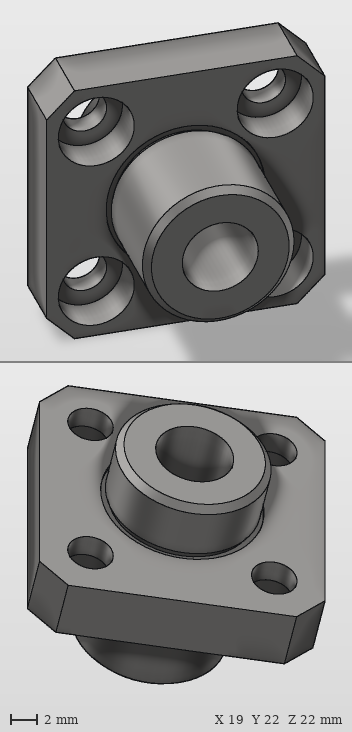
import cadquery as cq

flange_side = 22.0
flange_thickness = 5.0
corner_chamfer = 2.2

boss_diameter = 12.0
boss_chamfer = 0.55
short_boss_length = 5.0
long_boss_length = 9.02
bore_diameter = 6.0

relief_diameter = 11.4
relief_width = 0.3
face_recess_diameter = 12.58
face_recess_depth = 0.3

hole_diameter = 3.5
counterbore_diameter = 6.0
counterbore_depth = 3.1
hole_spacing = 14.15


def cylinder_x(diameter, start, length):
    """Solid cylinder along X; a negative length runs toward -X."""
    return cq.Workplane("YZ", origin=(start, 0, 0)).circle(diameter / 2).extrude(length)


def make_flange():
    return (
        cq.Workplane("YZ")
        .rect(flange_side, flange_side)
        .extrude(flange_thickness)
        .edges("|X")
        .chamfer(corner_chamfer)
        .faces(">X")
        .workplane(centerOption="CenterOfBoundBox")
        .rect(hole_spacing, hole_spacing, forConstruction=True)
        .vertices()
        .cboreHole(hole_diameter, counterbore_diameter, counterbore_depth)
    )


def add_boss(body, face_x, direction, length):
    """Recess the flange face around a boss, then add its relief neck and chamfered body."""
    body = body.cut(cylinder_x(face_recess_diameter, face_x, -direction * face_recess_depth))
    neck_start = face_x - direction * face_recess_depth
    neck = cylinder_x(relief_diameter, neck_start, direction * (face_recess_depth + relief_width))
    boss = cylinder_x(boss_diameter, face_x + direction * relief_width, direction * (length - relief_width))
    free_end = ">X" if direction > 0 else "<X"
    boss = boss.faces(free_end).chamfer(boss_chamfer)
    return body.union(neck).union(boss)


body = make_flange()
body = add_boss(body, 0, -1, short_boss_length)
body = add_boss(body, flange_thickness, 1, long_boss_length)

total_length = short_boss_length + flange_thickness + long_boss_length
result = body.cut(cylinder_x(bore_diameter, -short_boss_length, total_length))